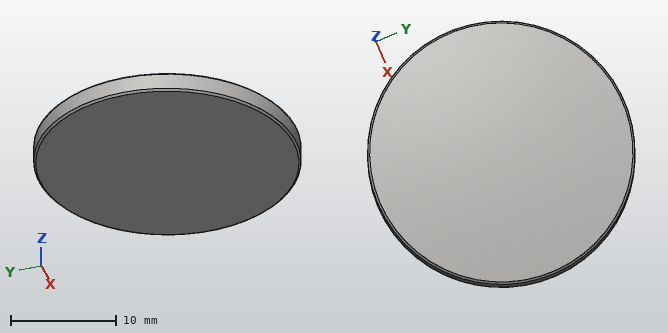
import cadquery as cq
import math

diameter = 25.4
center_thickness = 3.05
bevel = 0.2
dome_edge_height = 2.0

radius = diameter / 2
face_radius = radius - bevel

sag = center_thickness - dome_edge_height
dome_radius = (face_radius**2 + sag**2) / (2 * sag)
mid_radius = face_radius / 2
mid_height = center_thickness - dome_radius + math.sqrt(dome_radius**2 - mid_radius**2)

half_section = (
    cq.Workplane("YZ")
    .moveTo(0, 0)
    .lineTo(-face_radius, 0)
    .lineTo(-radius, bevel)
    .lineTo(-radius, dome_edge_height - bevel)
    .lineTo(-face_radius, dome_edge_height)
    .threePointArc((-mid_radius, mid_height), (0, center_thickness))
    .close()
)

result = half_section.revolve(360, (0, 0, 0), (0, 1, 0))